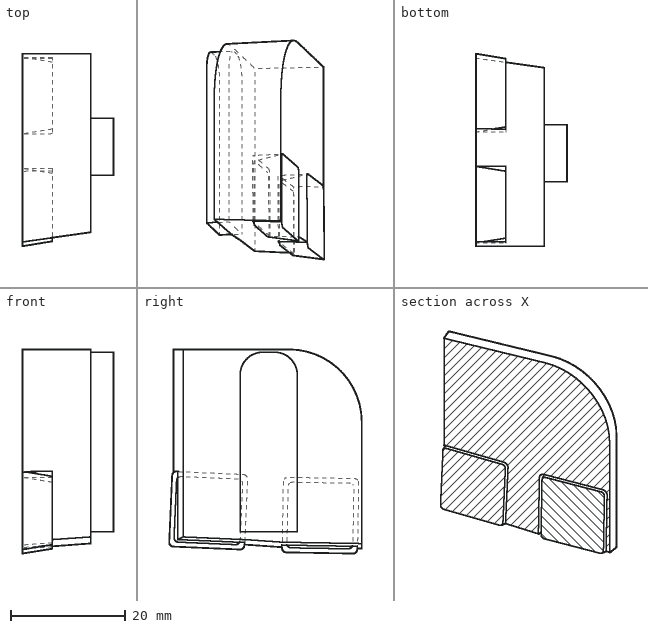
import cadquery as cq
import math


block_thickness = 12.0
block_length = 33.0
block_height = 34.95
corner_radius = 12.78
back_break_y = 18.97
front_break_y = 12.7
back_flat_slope = 1
middle_flat_slope = 4
front_flat_slope = 2.5
bottom_relief = 4.3
front_relief = 8

boss_height = 4.0
boss_width = 10.02
boss_radius = 4.0
boss_top = -0.5
boss_bottom = -31.97
boss_center_y = 16.7

insert_side = 13.2
insert_thickness = 5.25
insert_relief = 9
insert_corner_radius = 0.8
insert_places = [(25.7, -29.1, -1), (6.1, -28.25, -2.5)]


def slope(degrees):
    return math.tan(math.radians(degrees))


def block_section(x):
    """Corner points of the block's outline at distance x behind the cutting face."""
    front_y = x * slope(front_relief)
    back_z = -block_height + x * slope(bottom_relief)
    back_break_z = back_z + (block_length - back_break_y) * slope(back_flat_slope)
    front_break_z = back_break_z + (back_break_y - front_break_y) * slope(middle_flat_slope)
    front_z = front_break_z + (front_break_y - front_y) * slope(front_flat_slope)
    return [
        (front_y, 0),
        (block_length, 0),
        (block_length, back_z),
        (back_break_y, back_break_z),
        (front_break_y, front_break_z),
        (front_y, front_z),
    ]


def planar_face(points):
    return cq.Face.makeFromWires(cq.Wire.makePolygon(points, close=True))


def make_block():
    """Flat faces between two outlines, with the top back corner rounded."""
    near = [cq.Vector(0, y, z) for y, z in block_section(0)]
    far = [cq.Vector(block_thickness, y, z) for y, z in block_section(block_thickness)]
    faces = [planar_face(near), planar_face(far)]
    for i in range(len(near)):
        faces.append(planar_face([near[i - 1], near[i], far[i], far[i - 1]]))
    block = cq.Workplane(cq.Solid.makeSolid(cq.Shell.makeShell(faces)))
    return block.faces(">Z").edges(">Y").fillet(corner_radius)


def make_boss():
    boss = (
        cq.Workplane("YZ", origin=(block_thickness, boss_center_y, (boss_top + boss_bottom) / 2))
        .rect(boss_width, boss_top - boss_bottom)
        .extrude(boss_height)
    )
    return boss.edges("|X and >Z").fillet(boss_radius)


def place(body, y, z, tilt):
    return body.rotate((0, 0, 0), (1, 0, 0), tilt).translate((0, y, z))


def make_insert(y, z, tilt):
    """Square plate that narrows away from the cutting face."""
    insert = (
        cq.Workplane("YZ")
        .rect(insert_side, insert_side)
        .extrude(insert_thickness, taper=insert_relief)
        .edges("not #X")
        .fillet(insert_corner_radius)
    )
    return place(insert, y, z, tilt)


def make_pocket(y, z, tilt):
    """Straight-walled recess with the outline of the insert's cutting face."""
    pocket = (
        cq.Workplane("YZ")
        .rect(insert_side, insert_side)
        .extrude(insert_thickness)
        .edges("|X")
        .fillet(insert_corner_radius)
    )
    return place(pocket, y, z, tilt)


holder = make_block().union(make_boss())
inserts = []
for insert_place in insert_places:
    holder = holder.cut(make_pocket(*insert_place))
    inserts.append(make_insert(*insert_place).solids().val())

result = cq.Compound.makeCompound([holder.solids().val(), *inserts])